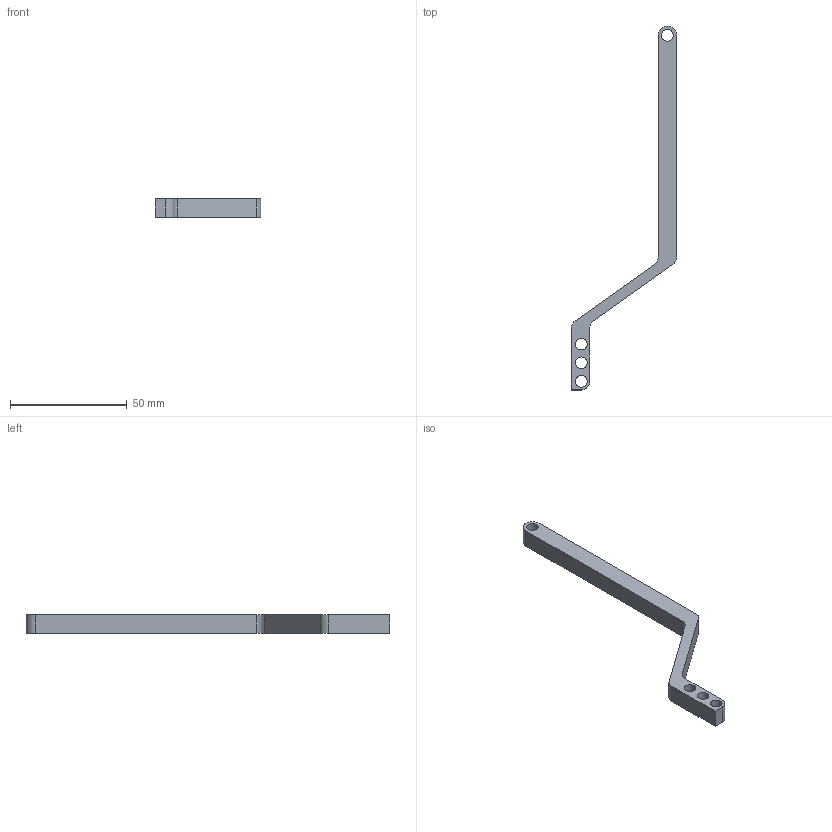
import cadquery as cq
import math

overall_width = 45.25
overall_length = 155.95
thickness = 8.0

leg_width = 8.0
link_angle = 35.5
lower_bend_y = 28.4
bend_radius = 4.0
foot_corner_radius = 3.65

hole_diameter = 5.0
foot_hole_count = 3
foot_hole_pitch = 8.0

upper_leg_left = overall_width - leg_width
upper_bend_y = lower_bend_y + upper_leg_left * math.tan(math.radians(link_angle))
foot_hole_x = leg_width - foot_corner_radius
foot_hole_y = foot_corner_radius

end_radius = leg_width / 2
end_center_x = upper_leg_left + end_radius
end_center_y = overall_length - end_radius


def make_bar():
    """Cranked bar with sharp bends and a round upper end."""
    return (
        cq.Workplane("XY")
        .moveTo(0, 0)
        .lineTo(leg_width, 0)
        .lineTo(leg_width, lower_bend_y)
        .lineTo(overall_width, upper_bend_y)
        .lineTo(overall_width, end_center_y)
        .threePointArc((end_center_x, overall_length), (upper_leg_left, end_center_y))
        .lineTo(upper_leg_left, upper_bend_y)
        .lineTo(0, lower_bend_y)
        .close()
        .extrude(thickness)
    )


def round_upright_edge(body, x, y, radius):
    """Fillet the vertical edge that stands at (x, y)."""
    edge = cq.selectors.NearestToPointSelector((x, y, thickness / 2))
    return body.edges("|Z").edges(edge).fillet(radius)


def round_corners(body):
    """Round the four bend corners and the inner corner of the foot."""
    for x in (0, leg_width):
        body = round_upright_edge(body, x, lower_bend_y, bend_radius)
    for x in (upper_leg_left, overall_width):
        body = round_upright_edge(body, x, upper_bend_y, bend_radius)
    return round_upright_edge(body, leg_width, 0, foot_corner_radius)


def drill_holes(body):
    """Cut the row of foot holes and the single hole at the round end."""
    centers = [(end_center_x, end_center_y)]
    for i in range(foot_hole_count):
        centers.append((foot_hole_x, foot_hole_y + i * foot_hole_pitch))
    cutters = cq.Workplane("XY").pushPoints(centers).circle(hole_diameter / 2).extrude(thickness)
    return body.cut(cutters)


result = drill_holes(round_corners(make_bar()))